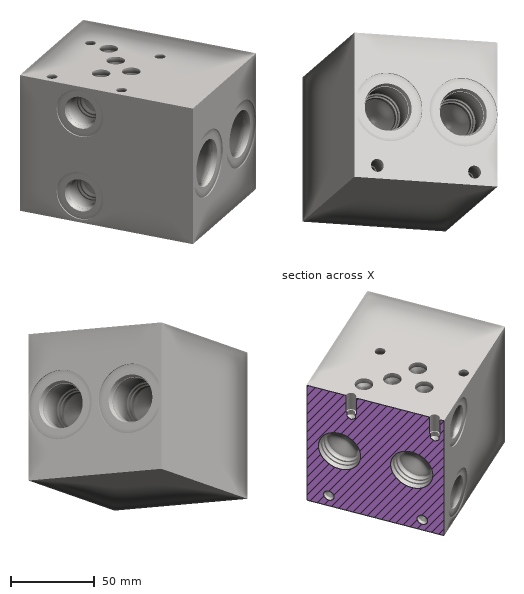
import cadquery as cq
import math

length = 114.3
width = 88.9
height = 88.9

drill_point_angle = 118.0

end_port_offset = 21.1
end_port_z = height / 2
end_port = dict(
    spotface=42.1, spotface_depth=0.8,
    seat=29.3, seat_end=27.4, seat_depth=4.2,
    thread=27.0, thread_depth=21.7,
    minor=24.9, minor_depth=24.0,
    drill=23.0, drill_depth=27.4,
)

work_port_x = 39.7
work_port_offset = 17.4
work_port = dict(
    spotface=30.6, spotface_depth=0.8,
    seat=20.7, seat_end=19.2, seat_depth=3.5,
    thread=19.1, thread_depth=16.0,
    minor=17.5, minor_depth=18.3,
    drill=15.9, drill_depth=21.7,
)

valve_bolt_x = 18.3
valve_bolt_y = 6.3
valve_bolt_pitch_x = 46.0
valve_bolt_pitch_y = 54.0
valve_bolt = dict(thread=6.4, thread_depth=12.6, drill=5.1, drill_depth=16.0)

valve_hole_diameter = 11.1
valve_hole_depth = 3.4
valve_hole_offsets = [(13.5, 51.1), (24.6, 37.3), (39.7, 27.0), (24.6, 16.7)]

mount_offset = 14.3
mount_z = 8.0
mount_bolt = dict(thread=7.9, thread_depth=16.0, drill=6.5, drill_depth=20.6)

rightward = (1, 0, 0)
leftward = (-1, 0, 0)
backward = (0, 1, 0)
downward = (0, 0, -1)


def bore(profile, place, direction):
    """Turn a (diameter, depth) profile, closed by a drill point, about an axis entering the block."""
    last_diameter, last_depth = profile[-1]
    tip_depth = last_depth + last_diameter / 2 / math.tan(math.radians(drill_point_angle / 2))
    wall = [(diameter / 2, depth) for diameter, depth in profile]
    outline = cq.Workplane("XZ").polyline([(0, 0)] + wall + [(0, tip_depth)]).close()
    cutter = outline.revolve(360, (0, 0, 0), (0, 1, 0))
    across = (direction[1], direction[2], direction[0])
    plane = cq.Plane(origin=place, xDir=across, normal=direction)
    return cutter.val().moved(cq.Location(plane))


def port_bore(port, place, direction):
    """Spotface, tapered seal seat, thread, minor bore and pilot drill of a threaded port."""
    profile = [
        (port["spotface"], 0),
        (port["spotface"], port["spotface_depth"]),
        (port["seat"], port["spotface_depth"]),
        (port["seat_end"], port["seat_depth"]),
        (port["thread"], port["seat_depth"]),
        (port["thread"], port["thread_depth"]),
        (port["minor"], port["thread_depth"]),
        (port["minor"], port["minor_depth"]),
        (port["drill"], port["minor_depth"]),
        (port["drill"], port["drill_depth"]),
    ]
    return bore(profile, place, direction)


def tapped_bore(bolt, place, direction):
    """Threaded bore followed by its narrower tap drill."""
    profile = [
        (bolt["thread"], 0),
        (bolt["thread"], bolt["thread_depth"]),
        (bolt["drill"], bolt["thread_depth"]),
        (bolt["drill"], bolt["drill_depth"]),
    ]
    return bore(profile, place, direction)


result = cq.Workplane("XY").box(length, width, height, centered=False)

for y in (end_port_offset, width - end_port_offset):
    result = result.cut(port_bore(end_port, (0, y, end_port_z), rightward))
    result = result.cut(port_bore(end_port, (length, y, end_port_z), leftward))

for z in (work_port_offset, height - work_port_offset):
    result = result.cut(port_bore(work_port, (work_port_x, 0, z), backward))

for x in (valve_bolt_x, valve_bolt_x + valve_bolt_pitch_x):
    for y in (valve_bolt_y, valve_bolt_y + valve_bolt_pitch_y):
        result = result.cut(tapped_bore(valve_bolt, (x, y, height), downward))

valve_hole = [(valve_hole_diameter, 0), (valve_hole_diameter, valve_hole_depth)]
for offset_x, offset_y in valve_hole_offsets:
    place = (valve_bolt_x + offset_x, valve_bolt_y + offset_y, height)
    result = result.cut(bore(valve_hole, place, downward))

for y in (mount_offset, width - mount_offset):
    result = result.cut(tapped_bore(mount_bolt, (0, y, mount_z), rightward))